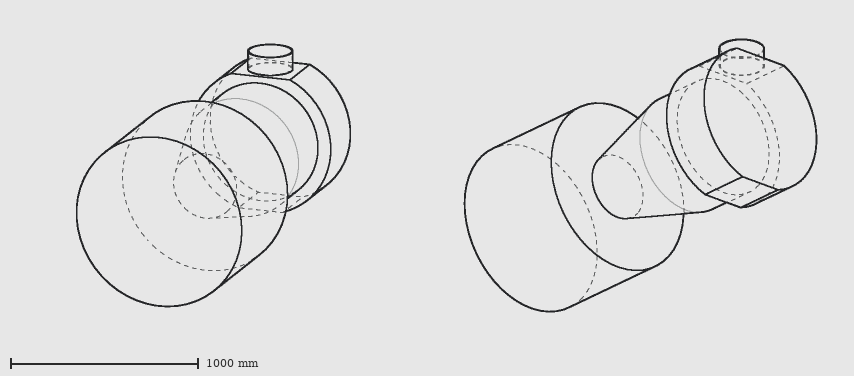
import cadquery as cq

drum_length = 700.0
cone_length = 550.0
neck_length = 300.0
total_length = 1850.0
head_length = total_length - drum_length - cone_length - neck_length

drum_diameter = 940.0
cone_small_diameter = 359.0
neck_diameter = 653.0
head_diameter = 800.0

top_flat_height = 363.0
bottom_flat_depth = 380.0

pipe_diameter = 240.0
pipe_wall = 5.0
pipe_top_height = 462.0

drum_back = drum_length
cone_back = drum_back + cone_length
neck_back = cone_back + neck_length


def make_turned_body():
    """Drum, cone and neck, revolved about the Y axis."""
    return (
        cq.Workplane("XY")
        .moveTo(0, 0)
        .lineTo(drum_diameter / 2, 0)
        .lineTo(drum_diameter / 2, drum_back)
        .lineTo(cone_small_diameter / 2, drum_back)
        .lineTo(neck_diameter / 2, cone_back)
        .lineTo(neck_diameter / 2, neck_back)
        .lineTo(0, neck_back)
        .close()
        .revolve(360, (0, 0, 0), (0, 1, 0))
    )


def make_head():
    """Round head cut flat above and below."""
    disc = (
        cq.Workplane("XZ", origin=(0, neck_back, 0))
        .circle(head_diameter / 2)
        .extrude(-head_length)
    )
    between_flats = (
        cq.Workplane("XY", origin=(0, neck_back, -bottom_flat_depth))
        .rect(head_diameter, 2 * head_length)
        .extrude(bottom_flat_depth + top_flat_height)
    )
    return disc.intersect(between_flats)


def make_pipe():
    """Thin open pipe centred on the top flat of the head."""
    return (
        cq.Workplane("XY", origin=(0, neck_back + head_length / 2, top_flat_height))
        .circle(pipe_diameter / 2)
        .circle(pipe_diameter / 2 - pipe_wall)
        .extrude(pipe_top_height - top_flat_height)
    )


result = make_turned_body().union(make_head()).union(make_pipe())